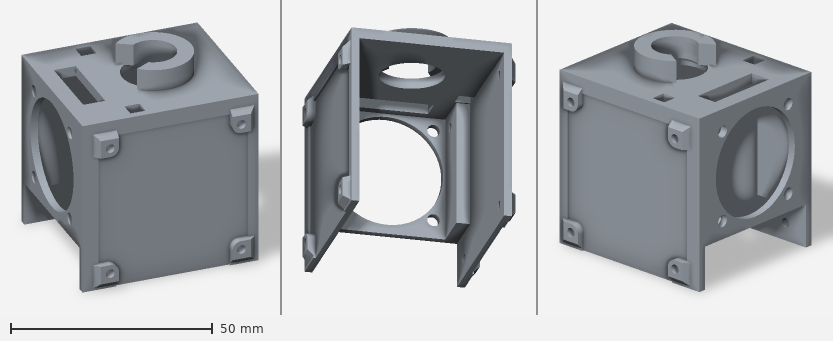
import cadquery as cq
import math

width = 41.0
depth = 46.9
height = 46.5
wall = 2.0
roof = 2.7
front_wall_bottom = 11.55
inner_width = width - 2 * wall
front_y = -depth / 2
back_y = depth / 2

block_gap = 30.0
block_end = 13.0

fan_diameter = 29.0
fan_z = 28.45
fan_screw_diameter = 3.2
fan_screw_pitch = 24.0

ring_y = 3.5
roof_hole_diameter = 16.4
slot_length = 19.9
slot_width = 5.85
slot_y = -16.1
square_size = 4.05
square_y = -7.9

board_size = 40.0
board_y = 0.8
board_z = 22.25
recess_depth = 0.5
boss_height = (44.2 - width) / 2
boss_inner = 15.1
boss_hole_diameter = 2.4
boss_hole_pitch = 34.95
boss_corner_radius = 2.3
narrow_chamfer = 1.35
wide_chamfer = 1.55

ring_height = 52.3 - height
ring_outer_diameter = 20.35
ring_inner_diameter = 11.9
gap_half_angle = 30
gap_apex_offset = 5.4


def box_between(x0, x1, y0, y1, z0, z1):
    """Axis-aligned box given by its limits."""
    return cq.Workplane("XY").box(x1 - x0, y1 - y0, z1 - z0, centered=False).translate((x0, y0, z0))


def make_shell():
    """Roof, side walls, short front wall and front blocks; back and bottom are open."""
    shell = box_between(-width / 2, width / 2, front_y, back_y, 0, height)
    half_inner = inner_width / 2
    half_gap = block_gap / 2
    block_y = front_y + block_end
    ceiling = height - roof
    rear_space = box_between(-half_inner, half_inner, block_y, back_y, 0, ceiling)
    duct = box_between(-half_gap, half_gap, front_y + wall, block_y, 0, ceiling)
    front_opening = box_between(-half_inner, half_inner, front_y, block_y, 0, front_wall_bottom)
    return shell.cut(rear_space).cut(duct).cut(front_opening)


def fan_cutters():
    """Large opening with four screw holes through the front wall."""
    plane = cq.Workplane("XZ", origin=(0, front_y, fan_z))
    opening = plane.circle(fan_diameter / 2).extrude(-wall)
    screws = (
        plane.rect(fan_screw_pitch, fan_screw_pitch, forConstruction=True)
        .vertices()
        .circle(fan_screw_diameter / 2)
        .extrude(-wall)
    )
    return opening.union(screws)


def roof_cutters():
    """Round hole under the ring, long slot and two square holes beside the walls."""
    plane = cq.Workplane("XY", origin=(0, 0, height))
    square_x = (inner_width - square_size) / 2
    round_hole = plane.center(0, ring_y).circle(roof_hole_diameter / 2).extrude(-roof)
    slot = plane.center(0, slot_y).rect(slot_length, slot_width).extrude(-roof)
    squares = (
        plane.pushPoints([(-square_x, square_y), (square_x, square_y)])
        .rect(square_size, square_size)
        .extrude(-roof)
    )
    return round_hole.union(slot).union(squares)


def side_recess():
    """Shallow seat in the left wall, open at the bottom."""
    return box_between(
        -width / 2, -width / 2 + recess_depth,
        board_y - board_size / 2, board_y + board_size / 2,
        0, board_z + board_size / 2,
    )


def make_boss(side_y, side_z):
    """Corner boss on the left wall; side_y and side_z (+1 or -1) choose the corner."""
    face_x = -width / 2
    half_board = board_size / 2
    chamfer_y = wide_chamfer if side_y > 0 else narrow_chamfer
    chamfer_z = narrow_chamfer if side_z > 0 else wide_chamfer
    inner_y = board_y + side_y * boss_inner
    outer_y = board_y + side_y * (half_board + chamfer_y)
    inner_z = board_z + side_z * boss_inner
    outer_z = board_z + side_z * (half_board + chamfer_z)
    foot_z = outer_z if side_z > 0 else 0

    foot = box_between(
        face_x, face_x + recess_depth,
        min(inner_y, outer_y), max(inner_y, outer_y),
        min(inner_z, foot_z), max(inner_z, foot_z),
    )
    raised = box_between(
        face_x - boss_height, face_x,
        min(inner_y, outer_y), max(inner_y, outer_y),
        min(inner_z, outer_z), max(inner_z, outer_z),
    )

    tip_x = face_x - boss_height
    slope_y = (
        cq.Workplane("XY")
        .polyline([(face_x, outer_y), (tip_x, outer_y), (tip_x, outer_y - side_y * chamfer_y)])
        .close()
        .extrude(height)
    )
    slope_z = (
        cq.Workplane("XZ")
        .polyline([(face_x, outer_z), (tip_x, outer_z), (tip_x, outer_z - side_z * chamfer_z)])
        .close()
        .extrude(depth / 2, both=True)
    )
    boss = raised.cut(slope_y).cut(slope_z).union(foot)
    inner_corner = cq.selectors.BoxSelector(
        (tip_x - 0.5, inner_y - 0.5, inner_z - 0.5),
        (face_x + recess_depth + 0.5, inner_y + 0.5, inner_z + 0.5),
    )
    return boss.edges("|X").edges(inner_corner).fillet(boss_corner_radius)


def boss_hole_cutters():
    """Four holes running through both side walls and their bosses."""
    return (
        cq.Workplane("YZ", origin=(0, board_y, board_z))
        .rect(boss_hole_pitch, boss_hole_pitch, forConstruction=True)
        .vertices()
        .circle(boss_hole_diameter / 2)
        .extrude(width, both=True)
    )


def make_housing():
    """Complete housing; the right wall mirrors the left one."""
    body = make_shell().cut(fan_cutters()).cut(roof_cutters())
    recess = side_recess()
    body = body.cut(recess).cut(recess.mirror("YZ"))
    for side_y in (-1, 1):
        for side_z in (-1, 1):
            boss = make_boss(side_y, side_z)
            body = body.union(boss).union(boss.mirror("YZ"))
    return body.cut(boss_hole_cutters())


def make_ring():
    """Ring standing on the roof, with a wedge-shaped gap toward the front."""
    plane = cq.Workplane("XY", origin=(0, ring_y, height))
    ring = plane.circle(ring_outer_diameter / 2).circle(ring_inner_diameter / 2).extrude(ring_height)
    gap_half_width = (gap_apex_offset + ring_outer_diameter) * math.tan(math.radians(gap_half_angle))
    gap = (
        plane.polyline([
            (0, gap_apex_offset),
            (-gap_half_width, -ring_outer_diameter),
            (gap_half_width, -ring_outer_diameter),
        ])
        .close()
        .extrude(ring_height)
    )
    return ring.cut(gap)


housing = make_housing()
ring = make_ring()
result = cq.Compound.makeCompound([housing.solids().val(), ring.solids().val()])